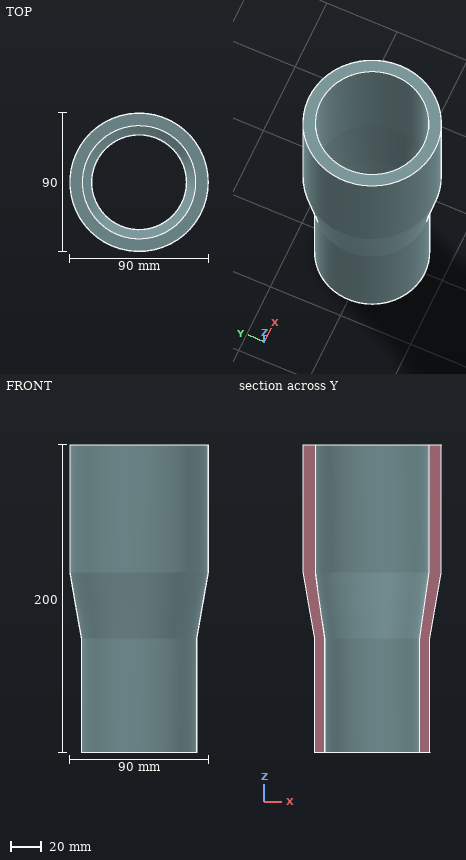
import cadquery as cq

total_length = 200.0
large_diameter = 90.0
small_diameter = 75.0
large_wall = 8.2
small_wall = 6.8
small_end_length = 74.0
large_end_length = 83.0

large_radius = large_diameter / 2
small_radius = small_diameter / 2
taper_top = total_length - large_end_length


def reducer_body(lower_radius, upper_radius):
    """Solid of revolution about Z: small cylinder, taper, large cylinder."""
    return (
        cq.Workplane("XZ")
        .lineTo(lower_radius, 0)
        .lineTo(lower_radius, small_end_length)
        .lineTo(upper_radius, taper_top)
        .lineTo(upper_radius, total_length)
        .lineTo(0, total_length)
        .close()
        .revolve(360, (0, 0, 0), (0, 1, 0))
    )


outside = reducer_body(small_radius, large_radius)
bore = reducer_body(small_radius - small_wall, large_radius - large_wall)
result = outside.cut(bore)